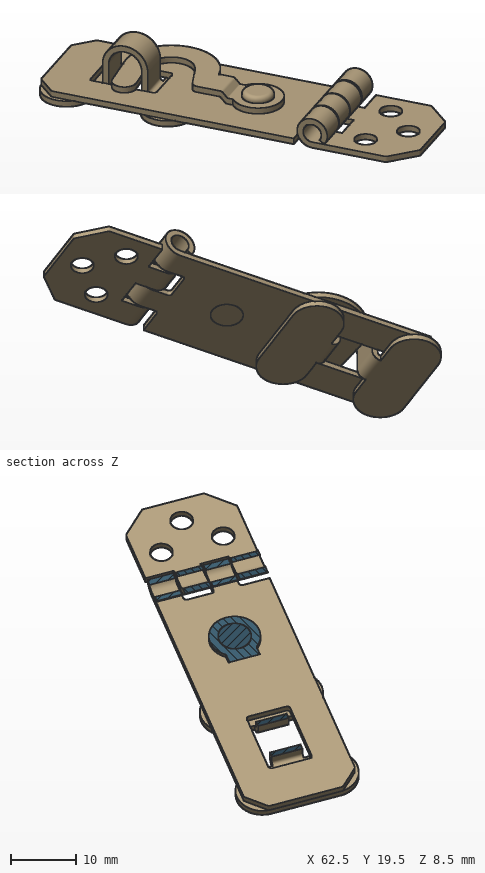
import cadquery as cq
import math


SHEET = 1.0
LENGTH = 62.5
WIDTH = 18.0
LEAF_BOTTOM = SHEET
LEAF_TOP = LEAF_BOTTOM + SHEET
CORNER_RADIUS = 0.5

HINGE_X = 46.25
BARREL_RADIUS = 2.5
HINGE_Z = LEAF_BOTTOM + BARREL_RADIUS
NOTCH_REACH = 3.05
HASP_KNUCKLES = [(-4.2, -0.05), (4.8, WIDTH / 2)]
LEAF_KNUCKLES = [(-WIDTH / 2, -4.45), (0.1, 4.45)]
HASP_NOTCHES = [(-WIDTH / 2, HASP_KNUCKLES[0][0]), (HASP_KNUCKLES[0][1], HASP_KNUCKLES[1][0])]
LEAF_NOTCHES = [(LEAF_KNUCKLES[0][1], LEAF_KNUCKLES[1][0]), (LEAF_KNUCKLES[1][1], WIDTH / 2)]

HASP_CHAMFER = 3.0
SLOT_LENGTH = 11.0
SLOT_WIDTH = 7.0

LEAF_CHAMFER = 4.0
SCREW_RADIUS = 1.75
SCREW_POINTS = [(53.45, -5.0), (53.45, 5.0), (58.45, 0.0)]

STAPLE_X = 12.5
STAPLE_WIDTH = 5.0
STAPLE_HEIGHT = 8.5
BOW_RADIUS = 3.75
BEND_RADIUS = 0.5
FOOT_SPAN = 19.5
FOOT_LENGTH = STAPLE_X - BOW_RADIUS - BEND_RADIUS

EYE_X = 33.5
EYE_RADIUS = 4.0
NECK_WIDTH = 5.0
HOOK_X = 18.5
HOOK_Y = 1.5
HOOK_OUTER_RADIUS = 7.5
HOOK_INNER_RADIUS = 3.6
TIP_LENGTH = 6.25
TIP_LEAN = 5.0
THROAT_LEAN = 18.0
THROAT_RADIUS = 1.0
STEP_X = 28.5
FOLD_SHIFT = 0.25
STEP_OUTER_RADIUS = 0.6
STEP_INNER_RADIUS = 0.25

EYE_TOP = LEAF_TOP + SHEET
HOOK_TOP = EYE_TOP + SHEET

RIVET_RADIUS = 2.5
RIVET_ROUND = 0.75


def slab(x_start, x_end, y_start, y_end, z_start, z_end):
    """Box given by its limits along each axis."""
    return cq.Workplane("XY").box(
        x_end - x_start, y_end - y_start, z_end - z_start, centered=False
    ).translate((x_start, y_start, z_start))


def knuckle(flat_side, y_start, y_end):
    """Rolled strip: leaves the hinge line's underside and curls back onto the leaf top.

    flat_side is +1 when the leaf lies at greater X than the hinge and -1 when it lies at lesser X.
    """
    inner = BARREL_RADIUS - SHEET
    end_angle = math.asin((LEAF_TOP - HINGE_Z) / BARREL_RADIUS)

    def at(radius, angle):
        return (HINGE_X + flat_side * radius * math.cos(angle), HINGE_Z + radius * math.sin(angle))

    return (
        cq.Workplane("XZ", origin=(0, y_end, 0))
        .moveTo(*at(BARREL_RADIUS, -math.pi / 2))
        .threePointArc(at(BARREL_RADIUS, 3 * math.pi / 4), at(BARREL_RADIUS, end_angle))
        .lineTo(*at(inner, end_angle))
        .threePointArc(at(inner, 3 * math.pi / 4), at(inner, -math.pi / 2))
        .close()
        .extrude(y_end - y_start)
    )


def make_hasp_leaf():
    """Long leaf with a staple slot, a rivet hole and two knuckles."""
    leaf = slab(0, HINGE_X, -WIDTH / 2, WIDTH / 2, LEAF_BOTTOM, LEAF_TOP)
    leaf = leaf.edges("|Z and <X").chamfer(HASP_CHAMFER)
    leaf = leaf.edges("|Z and (not >X)").fillet(CORNER_RADIUS)
    notch_start = HINGE_X - NOTCH_REACH
    for y_start, y_end in HASP_NOTCHES:
        notch = slab(notch_start, HINGE_X, y_start, y_end, LEAF_BOTTOM, LEAF_TOP)
        opens_sideways = y_start == -WIDTH / 2
        inside_corners = "|Z and <X and >Y" if opens_sideways else "|Z and <X"
        leaf = leaf.cut(notch.edges(inside_corners).fillet(CORNER_RADIUS))
    slot = slab(
        STAPLE_X - SLOT_LENGTH / 2, STAPLE_X + SLOT_LENGTH / 2,
        -SLOT_WIDTH / 2, SLOT_WIDTH / 2, LEAF_BOTTOM, LEAF_TOP,
    ).edges("|Z").fillet(CORNER_RADIUS)
    leaf = leaf.cut(slot).cut(make_rivet())
    for y_start, y_end in HASP_KNUCKLES:
        leaf = leaf.union(knuckle(-1, y_start, y_end))
    return leaf


def make_small_leaf():
    """Short leaf with three screw holes and two knuckles."""
    leaf = slab(HINGE_X, LENGTH, -WIDTH / 2, WIDTH / 2, LEAF_BOTTOM, LEAF_TOP)
    leaf = leaf.edges("|Z and >X").chamfer(LEAF_CHAMFER)
    leaf = leaf.edges("|Z and (not <X)").fillet(CORNER_RADIUS)
    for y_start, y_end in LEAF_NOTCHES:
        leaf = leaf.cut(slab(HINGE_X, HINGE_X + NOTCH_REACH, y_start, y_end, LEAF_BOTTOM, LEAF_TOP))
    screw_holes = (
        cq.Workplane("XY", origin=(0, 0, LEAF_BOTTOM))
        .pushPoints(SCREW_POINTS)
        .circle(SCREW_RADIUS)
        .extrude(SHEET)
    )
    leaf = leaf.cut(screw_holes)
    for y_start, y_end in LEAF_KNUCKLES:
        leaf = leaf.union(knuckle(1, y_start, y_end))
    return leaf


def make_staple():
    """Bent strap with a semicircular bow, standing on two round-ended feet."""
    inner = BOW_RADIUS - SHEET
    spring_z = STAPLE_HEIGHT - BOW_RADIUS
    outer_bend = BEND_RADIUS + SHEET
    bend_x = BOW_RADIUS + BEND_RADIUS
    diagonal = math.sqrt(0.5)
    bend_z = SHEET + BEND_RADIUS

    def bend_point(side, radius):
        return (side * (bend_x - radius * diagonal), bend_z - radius * diagonal)

    strap = (
        cq.Workplane("XZ", origin=(STAPLE_X, STAPLE_WIDTH / 2, 0))
        .moveTo(-bend_x, 0)
        .lineTo(-bend_x, SHEET)
        .threePointArc(bend_point(-1, BEND_RADIUS), (-BOW_RADIUS, bend_z))
        .lineTo(-BOW_RADIUS, spring_z)
        .threePointArc((0, STAPLE_HEIGHT), (BOW_RADIUS, spring_z))
        .lineTo(BOW_RADIUS, bend_z)
        .threePointArc(bend_point(1, BEND_RADIUS), (bend_x, SHEET))
        .lineTo(bend_x, 0)
        .threePointArc(bend_point(1, outer_bend), (inner, bend_z))
        .lineTo(inner, spring_z)
        .threePointArc((0, spring_z + inner), (-inner, spring_z))
        .lineTo(-inner, bend_z)
        .threePointArc(bend_point(-1, outer_bend), (-bend_x, 0))
        .close()
        .extrude(STAPLE_WIDTH)
    )
    feet = (
        cq.Workplane("XY")
        .pushPoints([(FOOT_LENGTH / 2, 0), (2 * STAPLE_X - FOOT_LENGTH / 2, 0)])
        .slot2D(FOOT_SPAN, FOOT_LENGTH, 90)
        .extrude(SHEET)
    )
    return strap.union(feet)


def hook_outline():
    """Flat outline of the hook and its neck, up to the middle of the eye."""
    half_neck = NECK_WIDTH / 2
    tip_radius = (HOOK_OUTER_RADIUS - HOOK_INNER_RADIUS) / 2
    lean = math.radians(TIP_LEAN)
    throat_lean = math.radians(THROAT_LEAN)

    def on_hook(radius, angle):
        return (HOOK_X + radius * math.cos(angle), HOOK_Y + radius * math.sin(angle))

    def along_tip(radius, distance):
        x, y = on_hook(radius, math.pi + lean)
        return (x + distance * math.sin(lean), y - distance * math.cos(lean))

    throat_start = on_hook(HOOK_INNER_RADIUS, throat_lean)
    throat_end_x = throat_start[0] + (throat_start[1] + half_neck) * math.tan(throat_lean)
    neck_angle = math.asin((half_neck - HOOK_Y) / HOOK_OUTER_RADIUS)
    tip_middle = (HOOK_OUTER_RADIUS + HOOK_INNER_RADIUS) / 2
    return (
        cq.Workplane("XY", origin=(0, 0, LEAF_TOP))
        .moveTo(EYE_X, half_neck)
        .lineTo(*on_hook(HOOK_OUTER_RADIUS, neck_angle))
        .threePointArc(
            on_hook(HOOK_OUTER_RADIUS, math.pi / 2),
            on_hook(HOOK_OUTER_RADIUS, math.pi + lean),
        )
        .lineTo(*along_tip(HOOK_OUTER_RADIUS, TIP_LENGTH))
        .threePointArc(
            along_tip(tip_middle, TIP_LENGTH + tip_radius),
            along_tip(HOOK_INNER_RADIUS, TIP_LENGTH),
        )
        .lineTo(*on_hook(HOOK_INNER_RADIUS, math.pi + lean))
        .threePointArc(on_hook(HOOK_INNER_RADIUS, math.pi / 2), throat_start)
        .lineTo(throat_end_x, -half_neck)
        .lineTo(EYE_X, -half_neck)
        .close()
        .extrude(2 * SHEET)
        .edges(cq.selectors.NearestToPointSelector((throat_end_x, -half_neck, EYE_TOP)))
        .fillet(THROAT_RADIUS)
    )


def stepped_sheet():
    """Full-width sheet whose hook end is raised one thickness by a 45 degree step."""
    low_step_x = STEP_X - FOLD_SHIFT
    sheet_end = EYE_X + EYE_RADIUS
    sheet = (
        cq.Workplane("XZ", origin=(0, WIDTH, 0))
        .polyline([
            (0, EYE_TOP), (low_step_x, EYE_TOP), (low_step_x + SHEET, LEAF_TOP), (sheet_end, LEAF_TOP),
            (sheet_end, EYE_TOP), (STEP_X + SHEET, EYE_TOP), (STEP_X, HOOK_TOP), (0, HOOK_TOP),
        ])
        .close()
        .extrude(2 * WIDTH)
    )
    folds = [
        (STEP_X, HOOK_TOP, STEP_OUTER_RADIUS),
        (low_step_x + SHEET, LEAF_TOP, STEP_OUTER_RADIUS),
        (STEP_X + SHEET, EYE_TOP, STEP_INNER_RADIUS),
        (low_step_x, EYE_TOP, STEP_INNER_RADIUS),
    ]
    for x, z, radius in folds:
        sheet = sheet.edges(cq.selectors.NearestToPointSelector((x, 0, z))).fillet(radius)
    return sheet


def make_hook():
    """Swivel hook: the flat outline and round eye pressed from the stepped sheet."""
    eye = cq.Workplane("XY", origin=(EYE_X, 0, LEAF_TOP)).circle(EYE_RADIUS).extrude(SHEET)
    return hook_outline().union(eye).intersect(stepped_sheet()).cut(make_rivet())


def make_rivet():
    """Round pin through the hasp leaf and the eye, with a rounded top rim."""
    return (
        cq.Workplane("XY", origin=(EYE_X, 0, LEAF_BOTTOM))
        .circle(RIVET_RADIUS)
        .extrude(HOOK_TOP - LEAF_BOTTOM)
        .faces(">Z")
        .edges()
        .fillet(RIVET_ROUND)
    )


hasp_leaf = make_hasp_leaf()
small_leaf = make_small_leaf()
staple = make_staple()
hook = make_hook()
rivet = make_rivet()

result = cq.Compound.makeCompound([
    hasp_leaf.val(),
    small_leaf.val(),
    staple.val(),
    hook.val(),
    rivet.val(),
])